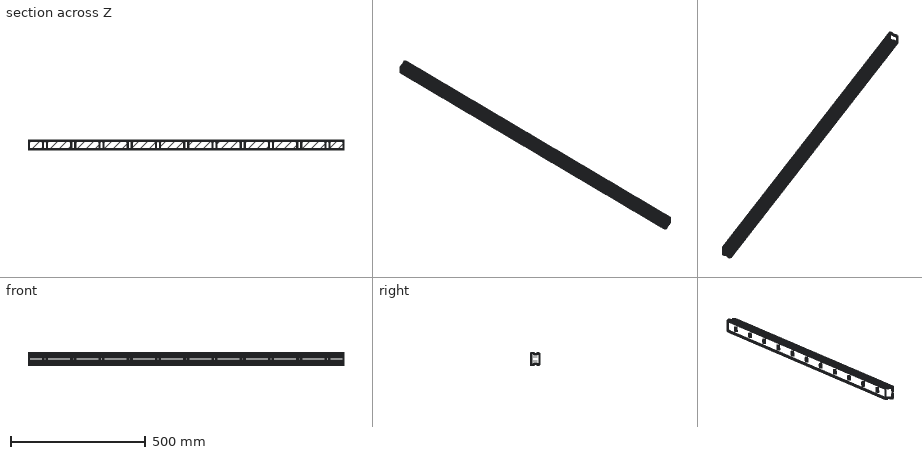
import cadquery as cq
import math

LENGTH = 1170.0
DEPTH = 32.0
HEIGHT = 45.0
HEAD_Y = DEPTH / 2
BASE_Y = -DEPTH / 2
FLANK_Z = HEIGHT / 2

HEAD_HALF_HEIGHT = 18.6
SHOULDER_ANGLE = 22.0
HEAD_RIB_OUTER_Y = 12.5
HEAD_RIB_INNER_Y = 8.0
HEAD_FLANK_ANGLE = 27.4

WAIST_HALF_HEIGHT = 18.4
WAIST_HEAD_Y = 5.0
WAIST_BASE_Y = -3.3

BASE_CHAMFER = 2.0

CENTRE_GROOVE_WIDTH = 11.2
CENTRE_GROOVE_DEPTH = 0.4
SIDE_GROOVE_INNER_Z = 8.6
SIDE_GROOVE_OUTER_Z = 15.0
SIDE_GROOVE_DEPTH = 0.6

HOLE_DIAMETER = 14.0
HOLE_COUNT = 11
HOLE_PITCH = 105.0


def slope_rise(run, angle):
    """Height gained over a run at an angle in degrees."""
    return run * math.tan(math.radians(angle))


def rail_body():
    """Rail section, symmetric about Z = 0, extruded along X about the origin."""
    shoulder_z = HEAD_HALF_HEIGHT + slope_rise(HEAD_Y - HEAD_RIB_OUTER_Y, SHOULDER_ANGLE)
    flank_z = WAIST_HALF_HEIGHT + slope_rise(HEAD_RIB_INNER_Y - WAIST_HEAD_Y, HEAD_FLANK_ANGLE)
    base_flank_run = FLANK_Z - WAIST_HALF_HEIGHT
    upper_half = [
        (HEAD_Y, HEAD_HALF_HEIGHT),
        (HEAD_RIB_OUTER_Y, shoulder_z),
        (HEAD_RIB_OUTER_Y, FLANK_Z),
        (HEAD_RIB_INNER_Y, FLANK_Z),
        (HEAD_RIB_INNER_Y, flank_z),
        (WAIST_HEAD_Y, WAIST_HALF_HEIGHT),
        (WAIST_BASE_Y, WAIST_HALF_HEIGHT),
        (WAIST_BASE_Y - base_flank_run, FLANK_Z),
        (BASE_Y + BASE_CHAMFER, FLANK_Z),
        (BASE_Y, FLANK_Z - BASE_CHAMFER),
    ]
    lower_half = [(y, -z) for y, z in reversed(upper_half)]
    section = cq.Workplane("YZ").polyline(upper_half + lower_half).close()
    return section.extrude(LENGTH / 2, both=True)


def base_groove(centre_z, width, depth):
    """Full-length cutter for a rectangular groove in the mounting face."""
    cutter = cq.Workplane("XY").box(LENGTH, 2 * depth, width)
    return cutter.translate((0, BASE_Y, centre_z))


def mounting_holes():
    """Row of plain through-hole cutters, centred along the rail."""
    first_x = -HOLE_PITCH * (HOLE_COUNT - 1) / 2
    centres = [(first_x + i * HOLE_PITCH, 0) for i in range(HOLE_COUNT)]
    holes = cq.Workplane("XZ").pushPoints(centres).circle(HOLE_DIAMETER / 2)
    return holes.extrude(DEPTH, both=True)


result = rail_body()

result = result.cut(base_groove(0, CENTRE_GROOVE_WIDTH, CENTRE_GROOVE_DEPTH))
side_groove_width = SIDE_GROOVE_OUTER_Z - SIDE_GROOVE_INNER_Z
side_groove_z = (SIDE_GROOVE_OUTER_Z + SIDE_GROOVE_INNER_Z) / 2
for side in (1, -1):
    result = result.cut(base_groove(side * side_groove_z, side_groove_width, SIDE_GROOVE_DEPTH))

result = result.cut(mounting_holes())